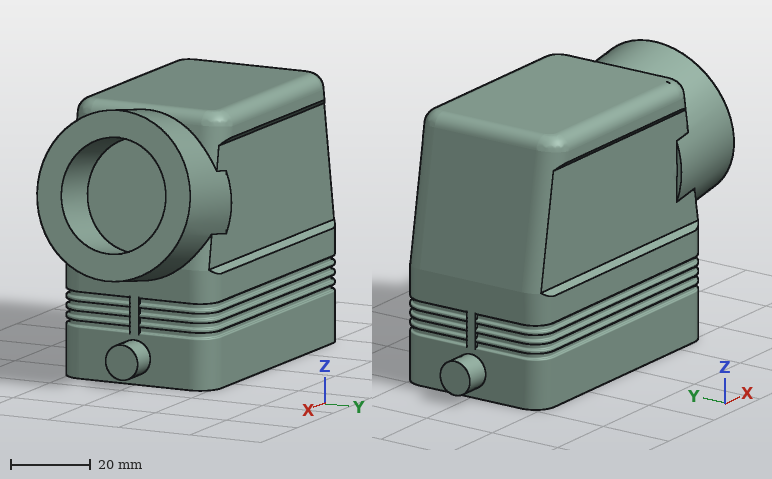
import cadquery as cq
import math

overall_length = 95.0
overall_height = 71.7

length = 73.0
width = 43.0
height = 70.0
shoulder_z = 30.9
lean_angle = 10.0
corner_radius = 6.0
top_radius = 4.0
lean = math.radians(lean_angle)
top_length = length - 2 * (height - shoulder_z) * math.tan(lean)

recess_depth = 1.5
recess_bottom_z = 29.5
recess_top_z = 63.3

groove_count = 4
groove_pitch = 2.5
groove_bottom_width = 1.4
groove_depth = 0.9
groove_rounding = 0.4
grooves_middle_z = 17.8
grip_gap = 2.6

pin_diameter = 9.0
pin_length = 6.9
pin_z = 6.9

collar_radius = width / 2
collar_face_x = overall_length - length / 2 - pin_length - collar_radius * math.sin(lean)
collar_face_z = overall_height - collar_radius * math.cos(lean)
collar_inner_x = 25.0
bore_diameter = 29.4

ball_radius = 20.3
ball_x = 27.1


def make_body():
    outline = [
        (-length / 2, 0),
        (length / 2, 0),
        (length / 2, shoulder_z),
        (top_length / 2, height),
        (-top_length / 2, height),
        (-length / 2, shoulder_z),
    ]
    body = cq.Workplane("XZ").polyline(outline).close().extrude(width / 2, both=True)
    corner_edges = body.edges("|Z").add(body.edges("not(|X or |Y or |Z)"))
    body = corner_edges.fillet(corner_radius)
    return body.faces(">Z").edges().fillet(top_radius)


def make_side_recess(side):
    outer_y = side * width / 2
    inner_y = outer_y - side * recess_depth
    section = [
        (outer_y, recess_bottom_z),
        (inner_y, recess_bottom_z + recess_depth),
        (inner_y, recess_top_z - recess_depth),
        (outer_y, recess_top_z),
    ]
    return cq.Workplane("YZ").polyline(section).close().extrude(length / 2, both=True)


def groove_section(z):
    """Flat-bottomed groove profile with rounded bottom corners and rounded lips."""
    wall = groove_bottom_width / 2
    r = groove_rounding
    return (
        cq.Workplane("YZ", origin=(0, -width / 2, z))
        .moveTo(-r, -wall - r)
        .lineTo(0, -wall - r)
        .radiusArc((r, -wall), r)
        .lineTo(groove_depth - r, -wall)
        .radiusArc((groove_depth, r - wall), -r)
        .lineTo(groove_depth, wall - r)
        .radiusArc((groove_depth - r, wall), -r)
        .lineTo(r, wall)
        .radiusArc((0, wall + r), r)
        .lineTo(-r, wall + r)
        .close()
    )


def make_grip_groove(z):
    """Groove that follows the body outline, left out at the two end gaps."""
    outline = (
        cq.Workplane("XY", origin=(0, 0, z))
        .rect(length - 2 * corner_radius, width - 2 * corner_radius)
        .offset2D(corner_radius)
    )
    gap = cq.Workplane("XY", origin=(0, 0, z)).box(2 * length, grip_gap, groove_pitch)
    return groove_section(z).sweep(outline).cut(gap)


def make_pins():
    pin_section = cq.Workplane("YZ").center(0, pin_z).circle(pin_diameter / 2)
    return pin_section.extrude(length / 2 + pin_length, both=True)


collar_plane = cq.Plane(
    origin=(collar_face_x, 0, collar_face_z),
    xDir=(0, 1, 0),
    normal=(math.cos(lean), 0, math.sin(lean)),
)
wall_offset_x = collar_face_x - length / 2
collar_length = wall_offset_x * math.cos(lean) + (collar_face_z - shoulder_z) * math.sin(lean)


def make_collar():
    """Collar cylinder, with its inner end cut off upright inside the body."""
    cylinder = cq.Workplane(collar_plane).circle(collar_radius).extrude(-length / 2)
    inner_side = cq.Workplane("XY", origin=(collar_inner_x, 0, height / 2)).box(
        length, 2 * width, 2 * height, centered=(False, True, True)
    )
    return cylinder.intersect(inner_side)


def make_ball():
    ball_z = collar_face_z - (collar_face_x - ball_x) * math.tan(lean)
    return cq.Workplane("XY", origin=(ball_x, 0, ball_z)).sphere(ball_radius)


def make_bore():
    return cq.Workplane(collar_plane).circle(bore_diameter / 2).extrude(-collar_length)


result = make_body()
for side in (-1, 1):
    result = result.cut(make_side_recess(side))
for index in range(groove_count):
    groove_z = grooves_middle_z + (index - (groove_count - 1) / 2) * groove_pitch
    result = result.cut(make_grip_groove(groove_z))
result = result.union(make_pins())
result = result.union(make_collar())
result = result.union(make_ball())
result = result.cut(make_bore())